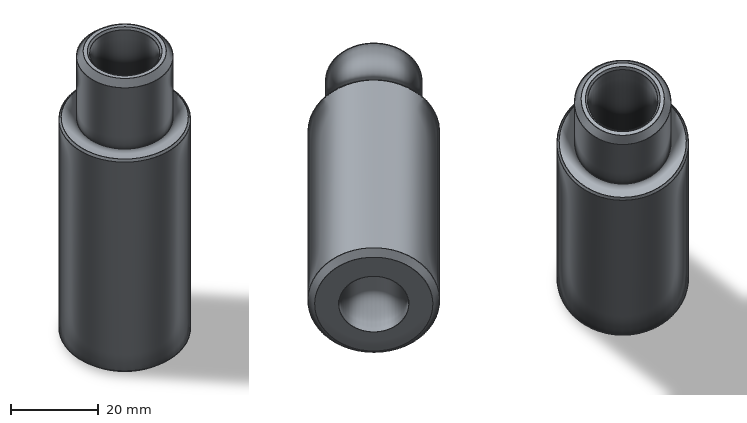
import cadquery as cq

total_length = 85.0
body_diameter = 30.0
spigot_diameter = 22.0
spigot_length = 20.0
bore_diameter = 16.0

end_chamfer = 1.5
shoulder_chamfer = 0.5
bore_chamfer = 0.5

body_length = total_length - spigot_length

body = (
    cq.Workplane("XY")
    .circle(body_diameter / 2)
    .extrude(body_length)
    .faces("<Z").chamfer(end_chamfer)
    .faces(">Z").chamfer(shoulder_chamfer)
)

spigot = (
    cq.Workplane("XY")
    .workplane(offset=body_length)
    .circle(spigot_diameter / 2)
    .extrude(spigot_length)
    .faces(">Z").chamfer(end_chamfer)
)

result = (
    body.union(spigot)
    .faces(">Z").workplane()
    .hole(bore_diameter)
    .faces(">Z").edges("%CIRCLE").edges(cq.selectors.RadiusNthSelector(0))
    .chamfer(bore_chamfer)
)